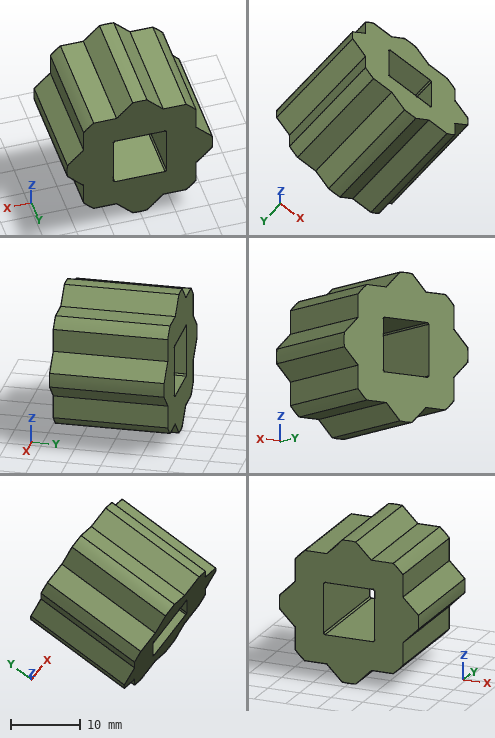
import cadquery as cq

outer_diameter = 22.0
square_side = 17.0
length = 17.0
bore_side = 8.05
bore_diameter = 11.05


def square_bar(side, angle=0):
    """Square prism along Y, centred on the origin and turned about Y."""
    return cq.Workplane("XZ").rect(side, side).extrude(length / 2, both=True).rotate(
        (0, 0, 0), (0, 1, 0), angle
    )


def round_bar(diameter):
    """Cylinder along Y, centred on the origin."""
    return cq.Workplane("XZ").circle(diameter / 2).extrude(length / 2, both=True)


star = square_bar(square_side).union(square_bar(square_side, 45))
body = star.intersect(round_bar(outer_diameter))

bore = square_bar(bore_side).intersect(round_bar(bore_diameter))

result = body.cut(bore)